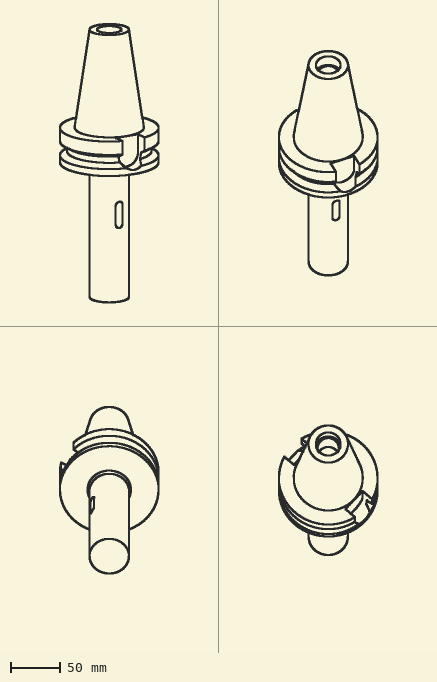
import cadquery as cq

total_height = 281.8
gauge_height = 180.0
flange_top = 178.5
upper_rim_bottom = 164.3
groove_top = 160.3
groove_bottom = 154.0
lower_rim_top = 149.4
flange_bottom = 142.0
collar_bottom = 139.0

flange_radius = 100.0 / 2
groove_radius = 42.8
gauge_radius = 35.0
taper_top_radius = 20.0
shank_radius = 20.0
collar_radius = 22.0

bore_radius = 12.5
bore_depth = 12.5
pilot_radius = 10.7
pilot_depth = 39.5

keyway_width = 26.0
keyway_bottom = 146.5
keyway_floor = 35.2

slot_width = 8.0
slot_bottom = 77.8
slot_top = 105.5


def turned_body():
    """Shank, grooved flange and taper, turned about Z."""
    profile = [
        (0, 0),
        (shank_radius, 0),
        (shank_radius, collar_bottom),
        (collar_radius, flange_bottom),
        (flange_radius, flange_bottom),
        (flange_radius, lower_rim_top),
        (groove_radius, groove_bottom),
        (groove_radius, groove_top),
        (flange_radius, upper_rim_bottom),
        (flange_radius, flange_top),
        (gauge_radius, flange_top),
        (gauge_radius, gauge_height),
        (taper_top_radius, total_height),
        (0, total_height),
    ]
    return cq.Workplane("XZ").polyline(profile).close().revolve(360, (0, 0), (0, 1))


def blind_hole(radius, depth):
    """Cylinder reaching down from the top face."""
    return cq.Workplane("XY").workplane(offset=total_height - depth).circle(radius).extrude(depth)


def keyway(side):
    """U-shaped cutter on the +X (side = 1) or -X (side = -1) side."""
    half_width = keyway_width / 2
    arc_center = keyway_bottom + half_width
    return (
        cq.Workplane("YZ")
        .workplane(offset=side * keyway_floor)
        .moveTo(-half_width, flange_top)
        .lineTo(-half_width, arc_center)
        .threePointArc((0, keyway_bottom), (half_width, arc_center))
        .lineTo(half_width, flange_top)
        .close()
        .extrude(side * (flange_radius - keyway_floor))
    )


def shank_slot():
    """Round-ended cutter along X, upright in the shank."""
    return (
        cq.Workplane("YZ")
        .center(0, (slot_bottom + slot_top) / 2)
        .slot2D(slot_top - slot_bottom, slot_width, 90)
        .extrude(shank_radius, both=True)
    )


result = turned_body()
result = result.cut(blind_hole(bore_radius, bore_depth))
result = result.cut(blind_hole(pilot_radius, pilot_depth))
for side in (-1, 1):
    result = result.cut(keyway(side))
result = result.cut(shank_slot())